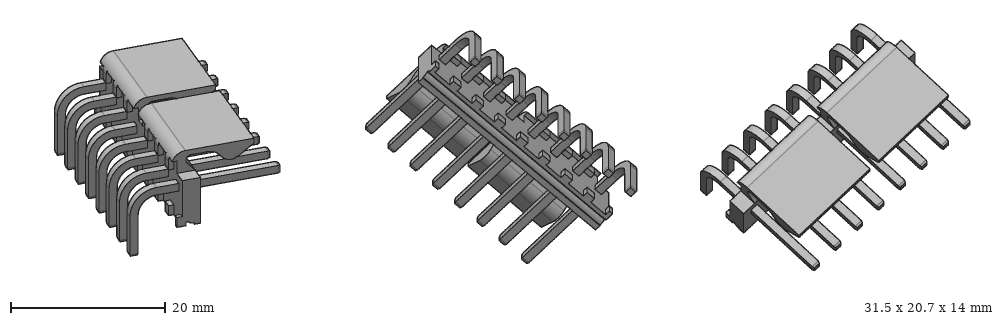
import cadquery as cq


wall_length = 31.53
wall_depth = 2.52
wall_height = 6.85

pin_count = 8
pin_row_length = 27.7
pin_pitch = pin_row_length / (pin_count - 1)
pin_size = 1.15
pin_back = 14.0
pin_front = -6.72
pin_bottom = -3.95
pin_top = 5.7
bend_radius = 3.65
tip_length = 0.3
tip_inset = 0.1

rib_width = 1.32
rib_depth = 0.73
lower_rib_height = 1.48

latch_top = 10.03
latch_outer_end = 13.75
latch_ranges = [(-latch_outer_end, -0.9), (0.7, latch_outer_end)]
latch_tip = 10.63
latch_tip_height = 0.73
arm_underside = 9.27
tooth_point = (7.28, 7.0)
tooth_radius = 1.65
tooth_root_y = tooth_point[0] - (arm_underside - tooth_point[1])
tooth_root_radius = 1.67
neck_back = 1.25
neck_bottom = 8.3
neck_radius = 0.7
shoulder_radius = 1.9
lip_bottom = 8.67

groove_front = 0.55
groove_back = 1.67
groove_depth = 0.55
groove_edge_depth = 0.2
groove_slope_front = 0.82
groove_radius = 1.07


def box(x_range, y_range, z_range):
    """Box between the given limits on each axis."""
    size = [limits[1] - limits[0] for limits in (x_range, y_range, z_range)]
    corner = (x_range[0], y_range[0], z_range[0])
    return cq.Workplane("XY").box(*size, centered=False).translate(corner)


def round_edge(body, x, corner, radius):
    """Fillet the edge along X that passes through the (y, z) corner."""
    selector = cq.selectors.NearestToPointSelector((x, *corner))
    return body.edges("|X").edges(selector).fillet(radius)


def make_rib(index, z_range):
    """Front rib, counted in pin pitches from the middle and trimmed at the wall ends."""
    left = max(index * pin_pitch - rib_width / 2, -wall_length / 2)
    right = min(index * pin_pitch + rib_width / 2, wall_length / 2)
    return box((left, right), (-rib_depth, 0), z_range)


def make_wall():
    wall = box((-wall_length / 2, wall_length / 2), (0, wall_depth), (0, wall_height))
    for index in range(-pin_count // 2, pin_count // 2 + 1):
        wall = wall.union(make_rib(index, (0, lower_rib_height)))
    groove = (
        cq.Workplane("YZ", origin=(-wall_length / 2, 0, 0))
        .moveTo(groove_front, 0)
        .lineTo(groove_front, groove_depth)
        .lineTo(groove_slope_front, groove_depth)
        .radiusArc((groove_back, groove_edge_depth), -groove_radius)
        .lineTo(groove_back, 0)
        .close()
        .extrude(wall_length)
    )
    return wall.cut(groove)


def make_latch(left, right):
    middle = (left + right) / 2
    shoulder = (-rib_depth, latch_top)
    outline = [
        (-rib_depth, wall_height),
        shoulder,
        (latch_tip, latch_top),
        (latch_tip, latch_top - latch_tip_height),
        tooth_point,
        (tooth_root_y, arm_underside),
        (neck_back, arm_underside),
        (neck_back, neck_bottom),
        (wall_depth, wall_height),
    ]
    latch = cq.Workplane("YZ", origin=(left, 0, 0)).polyline(outline).close().extrude(right - left)
    latch = round_edge(latch, middle, shoulder, shoulder_radius)
    latch = round_edge(latch, middle, tooth_point, tooth_radius)
    latch = round_edge(latch, middle, (tooth_root_y, arm_underside), tooth_root_radius)
    latch = round_edge(latch, middle, (neck_back, arm_underside), neck_radius)

    recess = box((left, right), (-rib_depth, 0), (wall_height, lip_bottom))
    for index in range(-pin_count // 2 + 1, pin_count // 2):
        if left < index * pin_pitch < right:
            recess = recess.cut(make_rib(index, (wall_height, lip_bottom)))
    return latch.cut(recess)


def make_tip(plane):
    """Tapered pin end, growing along the normal of the plane."""
    narrow = pin_size - 2 * tip_inset
    return plane.rect(pin_size, pin_size).workplane(offset=tip_length).rect(narrow, narrow).loft()


def make_pin(x):
    back = pin_back - tip_length
    bottom = pin_bottom + tip_length
    bend_y = pin_front + bend_radius
    bend_z = pin_top - bend_radius
    pin = (
        cq.Workplane("YZ", origin=(x - pin_size / 2, 0, 0))
        .moveTo(back, pin_top)
        .lineTo(bend_y, pin_top)
        .radiusArc((pin_front, bend_z), -bend_radius)
        .lineTo(pin_front, bottom)
        .lineTo(pin_front + pin_size, bottom)
        .lineTo(pin_front + pin_size, bend_z)
        .radiusArc((bend_y, pin_top - pin_size), bend_radius - pin_size)
        .lineTo(back, pin_top - pin_size)
        .close()
        .extrude(pin_size)
    )
    back_centre = (x, back, pin_top - pin_size / 2)
    bottom_centre = (x, pin_front + pin_size / 2, bottom)
    back_tip = make_tip(cq.Workplane(cq.Plane(back_centre, xDir=(1, 0, 0), normal=(0, 1, 0))))
    bottom_tip = make_tip(cq.Workplane(cq.Plane(bottom_centre, xDir=(1, 0, 0), normal=(0, 0, -1))))
    return pin.union(back_tip).union(bottom_tip)


result = make_wall()
for latch_left, latch_right in latch_ranges:
    result = result.union(make_latch(latch_left, latch_right))
for pin_index in range(pin_count):
    result = result.union(make_pin(pin_index * pin_pitch - pin_row_length / 2))